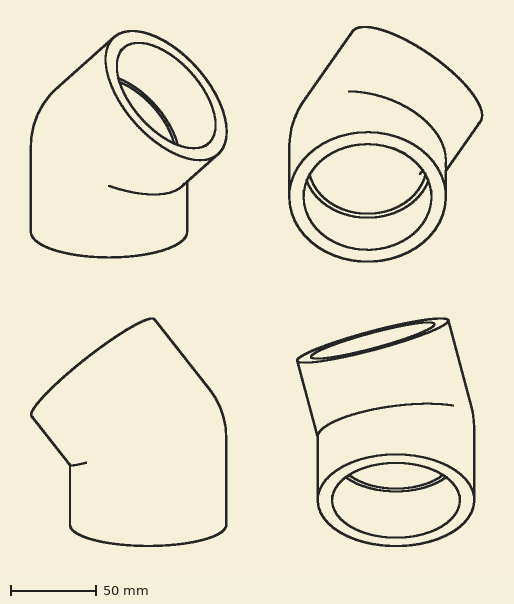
import cadquery as cq

bend_angle = 45.0
outer_diameter = 92.0
socket_diameter = 75.0
bore_diameter = 69.33
leg_length = 53.0
socket_depth = 33.5


def along_legs(diameter, start, end):
    """Two cylinders, one per leg, spanning the given distances from the corner centre."""
    lower = cq.Workplane("XY").workplane(offset=-end).circle(diameter / 2).extrude(end - start)
    upper = (
        cq.Workplane("XY")
        .workplane(offset=start)
        .circle(diameter / 2)
        .extrude(end - start)
        .rotate((0, 0, 0), (0, 1, 0), bend_angle)
    )
    return lower.union(upper)


def elbow_rod(diameter):
    """Solid bent rod: both legs joined by a sphere at the corner centre."""
    return along_legs(diameter, 0, leg_length).union(cq.Workplane("XY").sphere(diameter / 2))


body = elbow_rod(outer_diameter)
bore = elbow_rod(bore_diameter)
sockets = along_legs(socket_diameter, leg_length - socket_depth, leg_length)

result = body.cut(bore).cut(sockets).translate((0, 0, leg_length))